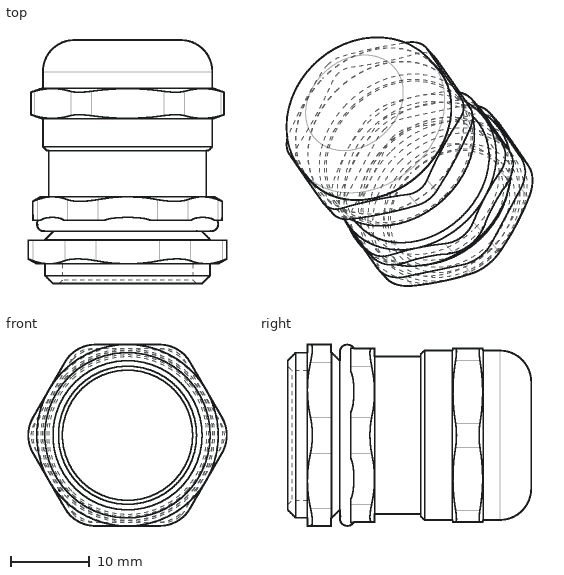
import cadquery as cq
import math


locknut_start = 2.5
locknut_end = 5.5
seal_start = 6.6
body_hex_start = 8.0
body_hex_end = 11.0
cap_start = 16.83
cap_hex_start = 20.86
cap_hex_end = 24.76
total_length = 30.86

thread_dia = 20.95
thread_end_dia = 18.9
thread_chamfer = (thread_dia - thread_end_dia) / 2
body_dia = 20.0
cap_dia = 21.5
cap_chamfer = 0.5
dome_radius = 4.0

seal_outer_dia = 23.0
seal_section_dia = 1.9
seal_center_radius = (seal_outer_dia - seal_section_dia) / 2

hex_sides = 6
hex_half_sector = 180 / hex_sides
locknut_width = 23.0
body_hex_width = 22.0
cap_hex_width = 22.0
nut_corner_radius = 4.5
cap_corner_radius = 3.0
cap_hex_face_dia = 21.6
nut_chamfer_angle = 30.0
cap_chamfer_angle = 20.0

opening_dia = 16.5
opening_chamfer = 0.5
opening_depth = 2.5


def revolve_about_y(profile):
    """Turn a closed XY profile a full revolution about the Y axis."""
    return profile.revolve(360, (0, 0, 0), (0, 1, 0))


def cylinder_along_y(start, end, diameter):
    return cq.Workplane("XZ", origin=(0, start, 0)).circle(diameter / 2).extrude(start - end)


def make_thread():
    """Threaded section, chamfered at the open end and where it meets the seal."""
    outer = thread_dia / 2
    end = thread_end_dia / 2
    profile = (
        cq.Workplane("XY")
        .lineTo(end, 0)
        .lineTo(outer, thread_chamfer)
        .lineTo(outer, seal_start - thread_chamfer)
        .lineTo(end, seal_start)
        .lineTo(0, seal_start)
        .close()
    )
    return revolve_about_y(profile)


def make_body():
    """Core carrying the seal and body hexagon, then the plain cylinder up to the cap."""
    seal_core = cylinder_along_y(seal_start, body_hex_start, 2 * seal_center_radius)
    neck = cylinder_along_y(body_hex_start, cap_start, body_dia)
    return seal_core.union(neck)


def make_seal():
    """Sealing ring with a half-round outer face and a square inner side buried in the body."""
    section_radius = seal_section_dia / 2
    seal_center = seal_start + section_radius
    inner = seal_center_radius - section_radius
    outer = seal_outer_dia / 2
    near_side = seal_center - section_radius
    far_side = seal_center + section_radius
    profile = (
        cq.Workplane("XY")
        .moveTo(inner, near_side)
        .lineTo(seal_center_radius, near_side)
        .threePointArc((outer, seal_center), (seal_center_radius, far_side))
        .lineTo(inner, far_side)
        .close()
    )
    return revolve_about_y(profile)


def make_cap():
    """Cap with a chamfered rim and a domed end."""
    outer = cap_dia / 2
    dome_start = total_length - dome_radius
    profile = (
        cq.Workplane("XY")
        .moveTo(0, cap_start)
        .lineTo(outer - cap_chamfer, cap_start)
        .lineTo(outer, cap_start + cap_chamfer)
        .lineTo(outer, dome_start)
        .radiusArc((outer - dome_radius, total_length), -dome_radius)
        .lineTo(0, total_length)
        .close()
    )
    return revolve_about_y(profile)


def make_hexagon(
    start, end, width, corner_radius, face_dia, chamfer_angle, chamfer_start=False, chamfer_end=False
):
    """Hexagon with two flats facing up and down, rounded corners and turned chamfers on chosen faces."""
    sharp_radius = width / 2 / math.cos(math.radians(hex_half_sector))
    prism = (
        cq.Workplane("XZ", origin=(0, start, 0))
        .polygon(hex_sides, 2 * sharp_radius)
        .extrude(start - end)
        .edges("|Y")
        .fillet(corner_radius)
    )
    radial_length = sharp_radius - face_dia / 2
    axial_length = radial_length * math.tan(math.radians(chamfer_angle))
    blank = cylinder_along_y(start, end, 2 * sharp_radius)
    if chamfer_start:
        blank = blank.faces("<Y").chamfer(axial_length, radial_length)
    if chamfer_end:
        blank = blank.faces(">Y").chamfer(axial_length, radial_length)
    return prism.intersect(blank)


def make_opening():
    """Flat-bottomed round opening with a chamfered mouth."""
    radius = opening_dia / 2
    profile = (
        cq.Workplane("XY")
        .lineTo(radius + opening_chamfer, 0)
        .lineTo(radius, opening_chamfer)
        .lineTo(radius, opening_depth)
        .lineTo(0, opening_depth)
        .close()
    )
    return revolve_about_y(profile)


locknut = make_hexagon(
    locknut_start,
    locknut_end,
    locknut_width,
    nut_corner_radius,
    locknut_width,
    nut_chamfer_angle,
    chamfer_start=True,
)
body_hex = make_hexagon(
    body_hex_start,
    body_hex_end,
    body_hex_width,
    nut_corner_radius,
    body_hex_width,
    nut_chamfer_angle,
    chamfer_end=True,
)
cap_hex = make_hexagon(
    cap_hex_start,
    cap_hex_end,
    cap_hex_width,
    cap_corner_radius,
    cap_hex_face_dia,
    cap_chamfer_angle,
    chamfer_start=True,
    chamfer_end=True,
)

result = (
    make_thread()
    .union(make_body())
    .union(make_seal())
    .union(make_cap())
    .union(locknut)
    .union(body_hex)
    .union(cap_hex)
    .cut(make_opening())
)